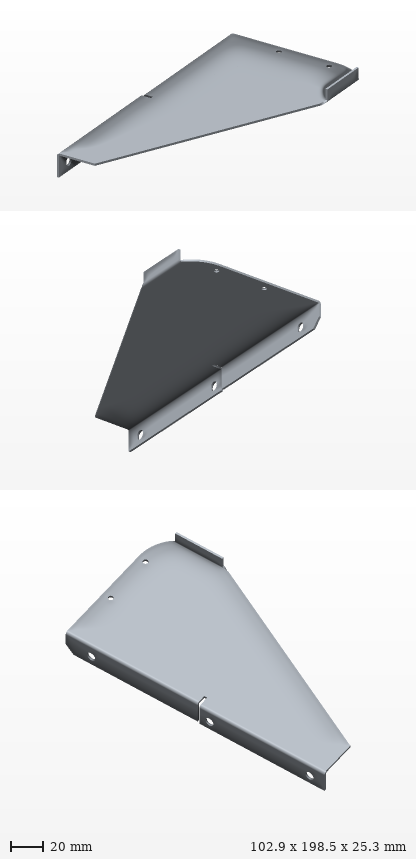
import cadquery as cq
import math

thickness = 1.5
flange_inner_bend = 0.6
flange_outer_bend = flange_inner_bend + thickness
tab_inner_bend = 0.6
tab_outer_bend = tab_inner_bend + thickness

width = 102.86
length = 198.49
height = 25.32

plate_front = 0.3
front_edge_end = 27.8
side_edge_start = 145.6
corner_radius = 30.0
corner_start = 79.5

rear_step = 1.2
rear_drop = 17.15
front_drop = 16.65
flange_chamfer = 6.0
flange_hole_diameter = 6.2
flange_hole_depth = 10.1
front_hole_places = (11.6, 88.0)
rear_hole_places = (179.1,)

slot_front = 95.6
slot_width = 2.2
slot_end = 8.3

tab_rise = height - rear_drop
tab_length = 35.9
tab_front = 150.9
tab_rear = tab_front + tab_length
tab_tangent = width - tab_outer_bend
bend_margin = 0.4

plate_hole_diameter = 3.6
plate_hole_inset = 6.1
plate_hole_places = (40.6, 77.6)

front_tangent = flange_outer_bend
rear_tangent = rear_step + flange_outer_bend
slot_rear = slot_front + slot_width


def corner_y(x):
    """Y of the rounded rear corner at a given X."""
    rise = math.sqrt(corner_radius**2 - (x - corner_start) ** 2)
    return length - corner_radius + rise


def make_plate():
    corner_middle = (corner_start + tab_tangent) / 2
    return (
        cq.Workplane("XY")
        .moveTo(front_tangent, plate_front)
        .lineTo(front_edge_end, plate_front)
        .lineTo(tab_tangent, side_edge_start)
        .lineTo(tab_tangent, corner_y(tab_tangent))
        .threePointArc((corner_middle, corner_y(corner_middle)), (corner_start, length))
        .lineTo(rear_tangent, length)
        .lineTo(rear_tangent, slot_rear)
        .lineTo(slot_end, slot_rear)
        .lineTo(slot_end, slot_front)
        .lineTo(front_tangent, slot_front)
        .close()
        .extrude(-thickness)
    )


def bent_strip(tangent, side, turn, inner_bend, reach, y_start, y_end):
    """Bend and leg leaving the plate at X = tangent.

    side is +1 or -1 for the X direction of the leg, turn is +1 for a leg
    folded up and -1 for one folded down, reach is the leg tip's height
    above or below Z = 0.
    """
    outer_bend = inner_bend + thickness
    center_z = inner_bend if turn > 0 else -outer_bend
    diagonal = math.sqrt(0.5)

    def on_arc(radius):
        middle = (tangent + side * radius * diagonal, center_z - turn * radius * diagonal)
        return middle, (tangent + side * radius, center_z)

    outer_middle, outer_end = on_arc(outer_bend)
    inner_middle, inner_end = on_arc(inner_bend)
    return (
        cq.Workplane("XZ", origin=(0, y_start, 0))
        .moveTo(tangent, center_z - turn * outer_bend)
        .threePointArc(outer_middle, outer_end)
        .lineTo(outer_end[0], turn * reach)
        .lineTo(inner_end[0], turn * reach)
        .lineTo(*inner_end)
        .threePointArc(inner_middle, (tangent, center_z - turn * inner_bend))
        .close()
        .extrude(y_start - y_end)
    )


def drill_flange(flange, places):
    cutter = (
        cq.Workplane("YZ")
        .pushPoints([(y, -flange_hole_depth) for y in places])
        .circle(flange_hole_diameter / 2)
        .extrude(rear_tangent)
    )
    return flange.cut(cutter)


def make_front_flange():
    flange = bent_strip(front_tangent, -1, -1, flange_inner_bend, front_drop, 0, slot_front)
    return drill_flange(flange, front_hole_places)


def make_rear_flange():
    flange = bent_strip(rear_tangent, -1, -1, flange_inner_bend, rear_drop, slot_rear, length)
    corner = (
        cq.Workplane("YZ")
        .moveTo(length, -rear_drop)
        .lineTo(length - flange_chamfer, -rear_drop)
        .lineTo(length, -rear_drop + flange_chamfer)
        .close()
        .extrude(rear_tangent)
    )
    return drill_flange(flange.cut(corner), rear_hole_places)


def bend_section(y_start, y_end, place):
    """Rectangle across the tab's bend; place maps (y, distance from the bend axis) to a point."""
    near = tab_inner_bend - bend_margin
    far = math.sqrt(2) * (tab_outer_bend + bend_margin)
    corners = [place(y_start, near), place(y_start, far), place(y_end, far), place(y_end, near)]
    return cq.Wire.makePolygon(corners, close=True)


def make_tab():
    """Upright tab whose bend tapers from the plate edge to the leg."""
    edge_rear = corner_y(tab_tangent)
    strip = bent_strip(tab_tangent, 1, 1, tab_inner_bend, tab_rise, side_edge_start, edge_rear)

    def below_axis(y, distance):
        return cq.Vector(tab_tangent, y, tab_inner_bend - distance)

    def beside_axis(y, distance):
        return cq.Vector(tab_tangent + distance, y, tab_inner_bend)

    plate_end = bend_section(side_edge_start, edge_rear, below_axis)
    leg_end = bend_section(tab_front, tab_rear, beside_axis)
    bend_limits = cq.Workplane(obj=cq.Solid.makeLoft([plate_end, leg_end], True))
    leg_limits = (
        cq.Workplane("XY", origin=(0, 0, tab_inner_bend))
        .moveTo(tab_tangent, tab_front)
        .lineTo(width, tab_front)
        .lineTo(width, tab_rear)
        .lineTo(tab_tangent, tab_rear)
        .close()
        .extrude(tab_rise)
    )
    return strip.intersect(bend_limits).union(strip.intersect(leg_limits))


def drill_plate(body):
    cutter = (
        cq.Workplane("XY")
        .pushPoints([(x, length - plate_hole_inset) for x in plate_hole_places])
        .circle(plate_hole_diameter / 2)
        .extrude(-thickness)
    )
    return body.cut(cutter)


bracket = make_plate().union(make_front_flange()).union(make_rear_flange()).union(make_tab())
result = drill_plate(bracket)